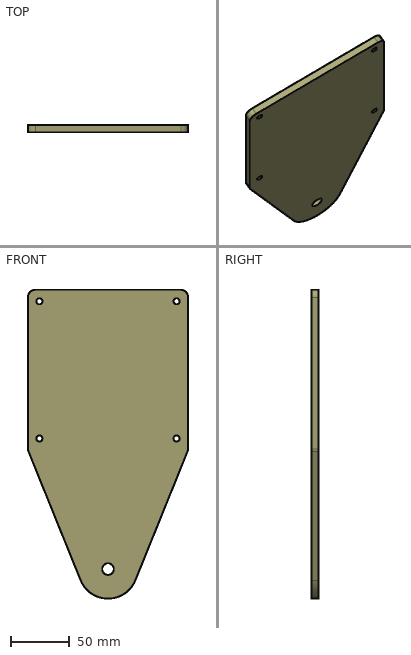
import cadquery as cq
import math

width = 137.0
height = 264.0
thickness = 6.3
corner_radius = 6.3

head_height = width
mount_spacing = 117.2
mount_diameter = 5.0
tip_radius = 25.3
pivot_diameter = 9.8

half_width = width / 2
top_z = height - tip_radius
shoulder_z = top_z - head_height
mount_center_z = top_z - head_height / 2

shoulder_distance = math.hypot(half_width, shoulder_z)
shoulder_angle = math.atan2(shoulder_z, half_width)
tangent_angle = shoulder_angle - math.acos(tip_radius / shoulder_distance)
tangent_x = tip_radius * math.cos(tangent_angle)
tangent_z = tip_radius * math.sin(tangent_angle)


def back_plane():
    """Workplane on the back face, facing the front (-Y)."""
    return cq.Workplane("XZ", origin=(0, thickness / 2, 0))


def make_plate():
    """Plate centred on Y = 0 with rounded corners."""
    plate = (
        back_plane()
        .moveTo(-half_width, top_z)
        .lineTo(half_width, top_z)
        .lineTo(half_width, shoulder_z)
        .lineTo(tangent_x, tangent_z)
        .threePointArc((0, -tip_radius), (-tangent_x, tangent_z))
        .lineTo(-half_width, shoulder_z)
        .close()
        .extrude(thickness)
    )
    corners = plate.edges("|Y").edges("<X or >X")
    return corners.fillet(corner_radius)


def make_hole(x, z, diameter):
    """Cutter for one hole through the full thickness."""
    return back_plane().center(x, z).circle(diameter / 2).extrude(thickness)


result = make_plate().cut(make_hole(0, 0, pivot_diameter))
for x_side in (-1, 1):
    for z_side in (-1, 1):
        mount_x = x_side * mount_spacing / 2
        mount_z = mount_center_z + z_side * mount_spacing / 2
        result = result.cut(make_hole(mount_x, mount_z, mount_diameter))